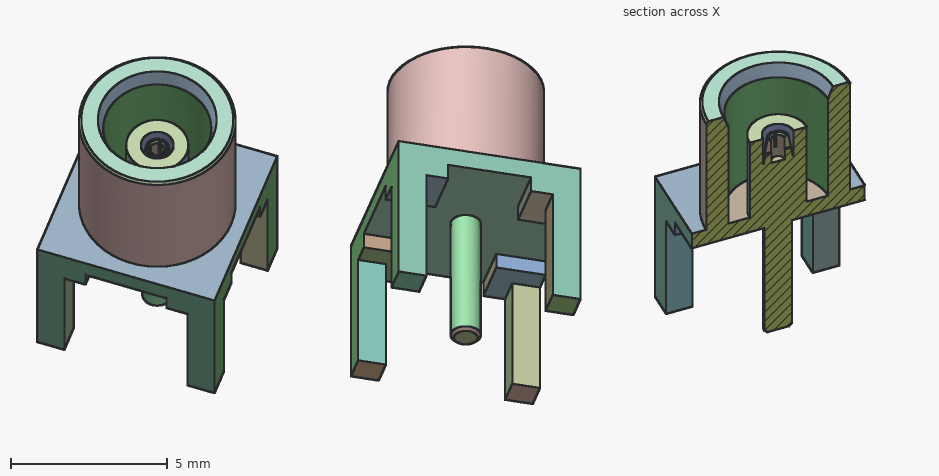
import cadquery as cq

base_side = 5.99
total_height = 9.65
plate_top = 5.09
plate_bottom = 4.45
pad_bottom = 3.92
pad_width = 1.63
leg_width = 0.92

barrel_diameter = 5.0
barrel_edge_chamfer = 0.08
mouth_diameter = 3.78
bore_diameter = 3.445
mouth_depth = 0.48
bore_floor = plate_top

insulator_diameter = 1.98
insulator_top = 8.25
contact_hole_diameter = 1.04

contact_diameter = 0.965
pin_chamfer = 0.11
contact_top = 8.11
nose_diameter = 0.72
nose_length = 0.965
nose_base = contact_top - nose_length
socket_diameter = 0.46
socket_depth = nose_length
lead_in_diameter = 0.61
socket_lead_in = (lead_in_diameter - socket_diameter) / 2
slot_width = 0.08
slot_depth = 0.55


def cylinder(diameter, bottom, top):
    return cq.Workplane("XY").workplane(offset=bottom).circle(diameter / 2).extrude(top - bottom)


def cone(bottom_diameter, top_diameter, bottom, top):
    profile = [(0, bottom), (bottom_diameter / 2, bottom), (top_diameter / 2, top), (0, top)]
    return cq.Workplane("XZ").polyline(profile).close().revolve(360, (0, 0), (0, 1))


def corner_posts(width, bottom, top):
    """Four square posts flush with the corners of the base."""
    spacing = base_side - width
    return (
        cq.Workplane("XY")
        .workplane(offset=bottom)
        .rarray(spacing, spacing, 2, 2)
        .rect(width, width)
        .extrude(top - bottom)
    )


def make_base():
    plate = (
        cq.Workplane("XY")
        .workplane(offset=plate_bottom)
        .rect(base_side, base_side)
        .extrude(plate_top - plate_bottom)
    )
    pads = corner_posts(pad_width, pad_bottom, plate_bottom)
    legs = corner_posts(leg_width, 0, pad_bottom)
    return plate.union(pads).union(legs)


def make_barrel():
    barrel = cylinder(barrel_diameter, plate_top, total_height)
    barrel = barrel.faces(">Z").edges().chamfer(barrel_edge_chamfer)
    bore = cylinder(bore_diameter, bore_floor, total_height)
    mouth = cone(bore_diameter, mouth_diameter, total_height - mouth_depth, total_height)
    return barrel.cut(bore).cut(mouth)


def make_insulator():
    insulator = cylinder(insulator_diameter, bore_floor, insulator_top)
    return insulator.cut(cylinder(contact_hole_diameter, nose_base, insulator_top))


def make_contact():
    contact = cylinder(contact_diameter, 0, nose_base).faces("<Z").edges().chamfer(pin_chamfer)
    contact = contact.union(cone(contact_hole_diameter, nose_diameter, nose_base, contact_top))
    contact = contact.cut(cylinder(socket_diameter, contact_top - socket_depth, contact_top))
    lead_in = cone(socket_diameter, lead_in_diameter, contact_top - socket_lead_in, contact_top)
    contact = contact.cut(lead_in)
    for angle in (0, 90):
        slot = (
            cq.Workplane("XY")
            .workplane(offset=contact_top - slot_depth)
            .transformed(rotate=(0, 0, angle))
            .rect(contact_hole_diameter, slot_width)
            .extrude(slot_depth)
        )
        contact = contact.cut(slot)
    return contact


result = make_base().union(make_barrel()).union(make_insulator()).union(make_contact())